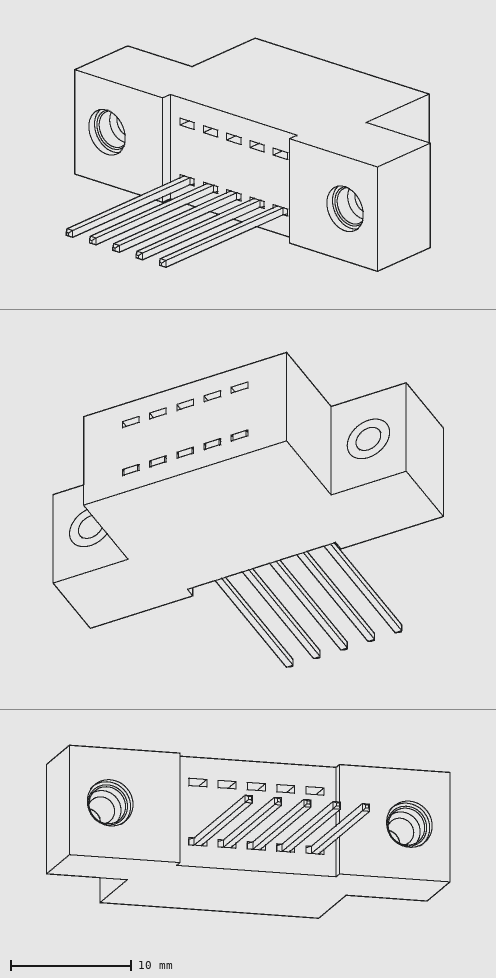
import cadquery as cq

FLANGE_WIDTH = 33.02
HEIGHT = 9.4
FLANGE_DEPTH = 6.85
NOSE_WIDTH = 19.0
HOUSING_DEPTH = 15.0
OVERALL_DEPTH = 29.45
RECESS_WIDTH = 13.85
RECESS_DEPTH = 1.0

CONTACT_COUNT = 5
PITCH = 2.55
ROW_OFFSET = PITCH
SLOT_WIDTH = 1.55

PIN_SIZE = 0.63
PIN_END_Y = HOUSING_DEPTH - OVERALL_DEPTH
TIP_LENGTH = 0.33
TIP_SIZE = 0.25
BLADE_WIDTH = 1.25
SHOULDER_START_Y = RECESS_DEPTH
SHOULDER_LENGTH = 0.65

BUSHING_OFFSET = 12.98
BUSHING_RADIUS = 1.98
BUSHING_SETBACK = 0.73
BORE_CHAMFER = 0.13
BORE_FRONT_RADIUS = 1.6
BORE_REAR_RADIUS = 1.15
BORE_CONE_START_Y = 2.2
BORE_CONE_LENGTH = BORE_FRONT_RADIUS - BORE_REAR_RADIUS

contact_positions = [(i - (CONTACT_COUNT - 1) / 2) * PITCH for i in range(CONTACT_COUNT)]
bushing_positions = [-BUSHING_OFFSET, BUSHING_OFFSET]


def block(width, y_start, y_end, height):
    """A box centred on X and Z that runs from y_start to y_end."""
    return cq.Workplane("XY").box(width, y_end - y_start, height).translate((0, (y_start + y_end) / 2, 0))


def make_housing():
    flange = block(FLANGE_WIDTH, 0, FLANGE_DEPTH, HEIGHT)
    nose = block(NOSE_WIDTH, 0, HOUSING_DEPTH, HEIGHT)
    recess = block(RECESS_WIDTH, 0, RECESS_DEPTH, HEIGHT)
    body = flange.union(nose).cut(recess)

    slot = block(SLOT_WIDTH, 0, HOUSING_DEPTH, PIN_SIZE)
    for x in contact_positions:
        for z in (-ROW_OFFSET, ROW_OFFSET):
            body = body.cut(slot.translate((x, 0, z)))

    mounting_hole = cq.Workplane("XZ").circle(BUSHING_RADIUS).extrude(-FLANGE_DEPTH)
    for x in bushing_positions:
        body = body.cut(mounting_hole.translate((x, 0, 0)))
    return body


def make_contact(x):
    """A square pin with a pointed tip that widens into a flat blade inside its slot."""
    tip_base_y = PIN_END_Y + TIP_LENGTH
    shoulder_end_y = SHOULDER_START_Y + SHOULDER_LENGTH

    tip = (
        cq.Workplane("XZ", origin=(0, PIN_END_Y, 0))
        .rect(TIP_SIZE, TIP_SIZE)
        .workplane(offset=-TIP_LENGTH)
        .rect(PIN_SIZE, PIN_SIZE)
        .loft(ruled=True)
    )
    shank = (
        cq.Workplane("XY", origin=(0, 0, -PIN_SIZE / 2))
        .moveTo(-PIN_SIZE / 2, tip_base_y)
        .lineTo(PIN_SIZE / 2, tip_base_y)
        .lineTo(PIN_SIZE / 2, SHOULDER_START_Y)
        .lineTo(BLADE_WIDTH / 2, shoulder_end_y)
        .lineTo(BLADE_WIDTH / 2, HOUSING_DEPTH)
        .lineTo(-BLADE_WIDTH / 2, HOUSING_DEPTH)
        .lineTo(-BLADE_WIDTH / 2, shoulder_end_y)
        .lineTo(-PIN_SIZE / 2, SHOULDER_START_Y)
        .close()
        .extrude(PIN_SIZE)
    )
    return shank.union(tip).translate((x, 0, -ROW_OFFSET))


def make_bushing(x):
    """A sleeve set back in the flange, with a stepped bore through it."""
    chamfer_end_y = BUSHING_SETBACK + BORE_CHAMFER
    return (
        cq.Workplane("XY")
        .moveTo(BUSHING_RADIUS, BUSHING_SETBACK)
        .lineTo(BORE_FRONT_RADIUS + BORE_CHAMFER, BUSHING_SETBACK)
        .lineTo(BORE_FRONT_RADIUS, chamfer_end_y)
        .lineTo(BORE_FRONT_RADIUS, BORE_CONE_START_Y)
        .lineTo(BORE_REAR_RADIUS, BORE_CONE_START_Y + BORE_CONE_LENGTH)
        .lineTo(BORE_REAR_RADIUS, FLANGE_DEPTH)
        .lineTo(BUSHING_RADIUS, FLANGE_DEPTH)
        .close()
        .revolve(360, (0, 0, 0), (0, 1, 0))
        .translate((x, 0, 0))
    )


housing = make_housing()
contacts = [make_contact(x) for x in contact_positions]
bushings = [make_bushing(x) for x in bushing_positions]

result = cq.Compound.makeCompound(
    [housing.val(), *[contact.val() for contact in contacts], *[bushing.val() for bushing in bushings]]
)